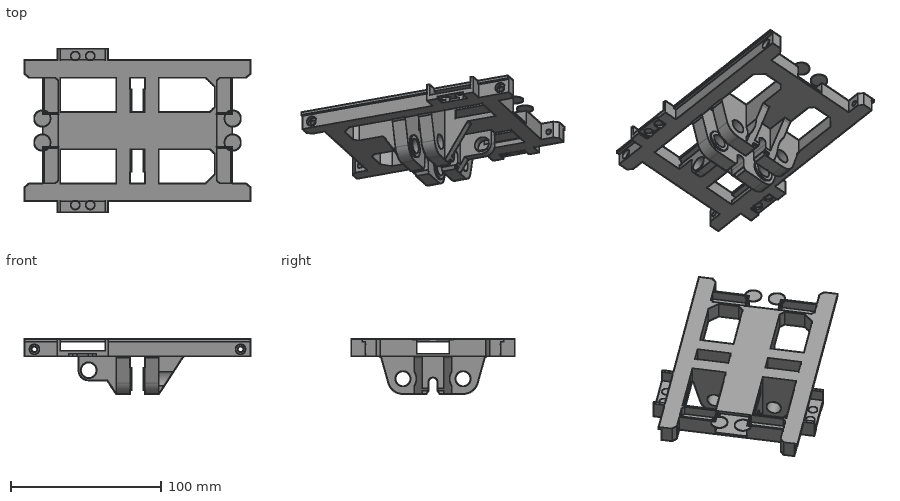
import cadquery as cq
import math

length = 150.5
width = 109.0
height = 36.7
frame_depth = 11.5
skin = 2.0

rail_inner_y = 35.1
rail_outer_y = 45.0
lip_outer_y = rail_outer_y + skin
rail_chamfer_length = 3.1
rail_chamfer_width = 2.6
screw_x = 68.65
screw_z = -6.85
screw_hole_diameter = 3.6
screw_head_diameter = 6.6
screw_head_depth = 3.0

channel_outer_x = 63.25
channel_inner_x = 52.7
channel_outer_wall = 1.0
channel_divider = 1.0
channel_corner_chamfer = 1.9
pocket_depth = 6.4
disc_x = 63.4
disc_radius = 5.5
disc_thickness = 0.4
disc_y = 8.0

spine_half_width = 12.5
tunnel_half_width = 10.7
tunnel_floor = 1.75

opening_outer_x = 51.3
bar_outer_x = 14.25
bar_inner_x = 4.85
opening_rail_chamfer = 5.9
opening_spine_chamfer = 3.0

window_x_min = -opening_outer_x
window_x_max = -21.6
window_bottom_z = -7.8
tray_outer_y = width / 2
tray_notch_x_min = -45.7
tray_notch_x_max = -27.4
tray_notch_depth = 1.6
magnet_diameter = 6.0
magnet_spacing = 10.0
magnet_y = 49.6
magnet_skin = 0.3

axle_y = 20.0
axle_z = -26.5
axle_hole_diameter = 9.9
leg_radius = height + axle_z
leg_top_y = 34.5
flare = 1.1
boss_diameter = 15.0
boss_height = 1.0
cable_slot_half_width = 2.9
cable_slot_top_z = -25.8
cable_slot_corner = 2.7
cable_slot_mouth_half_width = 4.35
cable_slot_mouth_z = -34.35

keel_inner_y = 7.0
keel_top_x = 30.0
keel_relief_radius = 8.9
web_outer_x = 16.8
arm_hole_x = -32.5
arm_hole_z = -20.8
arm_hole_diameter = 10.3
arm_radius = 6.85


def box(x0, x1, y0, y1, z0, z1):
    """Axis-aligned box between two opposite corners."""
    return cq.Workplane("XY").box(x1 - x0, y1 - y0, z1 - z0, centered=False).translate((x0, y0, z0))


def both_sides(shape, plane):
    """A shape together with its mirror image."""
    return shape.union(shape.mirror(plane))


def cylinder_along_x(radius, x0, x1, y, z):
    """Cylinder parallel to X, from x0 to x1."""
    return cq.Workplane("YZ", origin=(x0, 0, 0)).center(y, z).circle(radius).extrude(x1 - x0)


def cylinder_along_y(radius, y0, y1, x, z):
    """Cylinder parallel to Y, from y0 to y1."""
    return cq.Workplane("XZ", origin=(0, y1, 0)).center(x, z).circle(radius).extrude(y1 - y0)


def make_rail():
    """Rail on the +Y side, with an overhanging lip and a screw hole at each end."""
    half = length / 2
    rail = box(-half, half, rail_inner_y, rail_outer_y, -frame_depth, 0)
    rail = rail.union(box(-half, half, rail_outer_y, lip_outer_y, -skin, 0))
    for side in (-1, 1):
        corner = (
            cq.Workplane("XY")
            .moveTo(side * half, rail_inner_y)
            .lineTo(side * (half - rail_chamfer_length), rail_inner_y)
            .lineTo(side * half, rail_inner_y + rail_chamfer_width)
            .close()
            .extrude(-frame_depth)
        )
        rail = rail.cut(corner)
    for x in (-screw_x, screw_x):
        rail = rail.cut(cylinder_along_y(screw_hole_diameter / 2, rail_inner_y, rail_outer_y, x, screw_z))
        head_y = rail_outer_y - screw_head_depth
        rail = rail.cut(cylinder_along_y(screw_head_diameter / 2, head_y, rail_outer_y, x, screw_z))
    return rail


def make_tray():
    """Open tray outside the +Y rail, with a notch and two blind magnet pockets underneath."""
    x0 = window_x_min - skin
    x1 = window_x_max + skin
    tray = box(x0, x1, rail_outer_y, tray_outer_y, -frame_depth, 0)
    tray = tray.cut(box(window_x_min, window_x_max, lip_outer_y, tray_outer_y, window_bottom_z, 0))
    notch_top = -frame_depth + tray_notch_depth
    tray = tray.cut(box(
        tray_notch_x_min, tray_notch_x_max, lip_outer_y, tray_outer_y, -frame_depth, notch_top,
    ))
    center_x = (window_x_min + window_x_max) / 2
    magnets = (
        cq.Workplane("XY", origin=(center_x, magnet_y, -frame_depth))
        .rarray(magnet_spacing, 1, 2, 1)
        .circle(magnet_diameter / 2)
        .extrude(frame_depth + window_bottom_z - magnet_skin)
    )
    return tray.cut(magnets)


def make_channel_cuts():
    """Two walled pockets and the middle recess of the +X end channel."""
    pocket = box(
        channel_inner_x, channel_outer_x - channel_outer_wall,
        tunnel_half_width + channel_divider, rail_inner_y,
        -pocket_depth, 0,
    ).edges("|Z and <X and >Y").chamfer(channel_corner_chamfer)
    recess = box(
        channel_inner_x, channel_outer_x,
        -tunnel_half_width, tunnel_half_width,
        -frame_depth + tunnel_floor, 0,
    )
    return both_sides(pocket, "XZ").union(recess)


def make_openings():
    """Through openings on the +Y side of the spine."""
    y0 = spine_half_width
    left = box(-opening_outer_x, -bar_outer_x, y0, rail_inner_y, -frame_depth, 0)
    middle = box(-bar_inner_x, bar_inner_x, y0, rail_inner_y, -frame_depth, 0)
    right = box(bar_outer_x, opening_outer_x, y0, rail_inner_y, -frame_depth, 0)
    right = right.edges("|Z and >X and >Y").chamfer(opening_rail_chamfer)
    right = right.edges("|Z and >X and <Y").chamfer(opening_spine_chamfer)
    return left.union(middle).union(right)


def make_frame():
    """Spine, bars, end channels, rails and trays, pierced by the tunnel and the cross window."""
    frame = box(-channel_outer_x, channel_outer_x, -rail_inner_y, rail_inner_y, -frame_depth, 0)
    frame = frame.cut(both_sides(make_openings(), "XZ"))
    frame = frame.cut(both_sides(make_channel_cuts(), "YZ"))
    frame = frame.union(both_sides(make_rail(), "XZ")).union(both_sides(make_tray(), "XZ"))
    frame = frame.cut(box(
        -channel_outer_x, channel_outer_x, -tunnel_half_width, tunnel_half_width,
        -frame_depth + tunnel_floor, -skin,
    ))
    return frame.cut(box(window_x_min, window_x_max, -tray_outer_y, tray_outer_y, window_bottom_z, -skin))


def make_discs():
    """Thin round pads at the top of the two ends."""
    points = [(sx * disc_x, sy * disc_y) for sx in (-1, 1) for sy in (-1, 1)]
    return (
        cq.Workplane("XY", origin=(0, 0, -disc_thickness))
        .pushPoints(points).circle(disc_radius).extrude(disc_thickness)
    )


def make_leg():
    """Leg plate on the +X side, its lower corners rounded about the axle holes."""
    flare_z = -frame_depth - flare
    dy = leg_top_y - axle_y
    dz = flare_z - axle_z
    angle = math.atan2(dz, dy) - math.acos(leg_radius / math.hypot(dy, dz))
    tangent = (axle_y + leg_radius * math.cos(angle), axle_z + leg_radius * math.sin(angle))
    mid_angle = (angle - math.pi / 2) / 2
    middle = (axle_y + leg_radius * math.cos(mid_angle), axle_z + leg_radius * math.sin(mid_angle))
    half = (
        cq.Workplane("YZ", origin=(bar_inner_x, 0, 0))
        .moveTo(0, -frame_depth)
        .lineTo(leg_top_y + flare, -frame_depth)
        .lineTo(leg_top_y, flare_z)
        .lineTo(*tangent)
        .threePointArc(middle, (axle_y, -height))
        .lineTo(0, -height)
        .close()
        .extrude(bar_outer_x - bar_inner_x)
    )
    half = half.union(cylinder_along_x(
        boss_diameter / 2, bar_inner_x - boss_height, bar_inner_x, axle_y, axle_z,
    ))
    half = half.cut(cylinder_along_x(
        axle_hole_diameter / 2, bar_inner_x - boss_height, bar_outer_x, axle_y, axle_z,
    ))
    return both_sides(half, "XZ")


def make_keel():
    """Keel wall under the +Y edge of the spine, one tapered fin outside each leg,
    with a bolt clearance on the +X fin.
    """
    fin = (
        cq.Workplane("XZ", origin=(0, spine_half_width, 0))
        .moveTo(bar_outer_x, -frame_depth)
        .lineTo(keel_top_x + flare, -frame_depth)
        .lineTo(keel_top_x, -frame_depth - flare)
        .lineTo(bar_outer_x, -height)
        .close()
        .extrude(spine_half_width - keel_inner_y)
    )
    relief = cylinder_along_x(keel_relief_radius, bar_outer_x, keel_top_x, axle_y, axle_z)
    return fin.cut(relief).union(fin.mirror("YZ"))


def make_arm():
    """Arm with a rounded end and a cross hole on the -Y keel wall."""
    left_x = arm_hole_x - arm_radius
    bottom_z = arm_hole_z - arm_radius
    reach = arm_radius * math.sqrt(0.5)
    arm = (
        cq.Workplane("XZ", origin=(0, -keel_inner_y, 0))
        .moveTo(left_x, -frame_depth)
        .lineTo(left_x, arm_hole_z)
        .threePointArc((arm_hole_x - reach, arm_hole_z - reach), (arm_hole_x, bottom_z))
        .lineTo(-bar_outer_x, bottom_z)
        .lineTo(-bar_outer_x, -frame_depth)
        .close()
        .extrude(spine_half_width - keel_inner_y)
    )
    return arm.cut(cylinder_along_y(
        arm_hole_diameter / 2, -spine_half_width, -keel_inner_y, arm_hole_x, arm_hole_z,
    ))


def make_web():
    """Thickening of the +X leg between the keel walls, bevelled like the keel ends."""
    slope = (keel_top_x - bar_outer_x) / (height - frame_depth - flare)
    bottom_x = bar_outer_x + slope * (height + cable_slot_mouth_z)
    bevel_z = -height + (web_outer_x - bar_outer_x) / slope
    return (
        cq.Workplane("XZ", origin=(0, keel_inner_y, 0))
        .moveTo(bar_outer_x, -frame_depth)
        .lineTo(web_outer_x, -frame_depth)
        .lineTo(web_outer_x, bevel_z)
        .lineTo(bottom_x, cable_slot_mouth_z)
        .lineTo(bar_outer_x, cable_slot_mouth_z)
        .close()
        .extrude(2 * keel_inner_y)
    )


def make_cable_slot():
    """Slot along X, open at the bottom of the legs and flared at its mouth."""
    slot = box(
        -web_outer_x, web_outer_x, -cable_slot_half_width, cable_slot_half_width,
        -height, cable_slot_top_z,
    ).edges("|X and >Z").fillet(cable_slot_corner)
    mouth = (
        cq.Workplane("YZ", origin=(-web_outer_x, 0, 0))
        .moveTo(-cable_slot_half_width, cable_slot_mouth_z)
        .lineTo(cable_slot_half_width, cable_slot_mouth_z)
        .lineTo(cable_slot_mouth_half_width, -height)
        .lineTo(-cable_slot_mouth_half_width, -height)
        .close()
        .extrude(2 * web_outer_x)
    )
    return slot.union(mouth)


legs = both_sides(make_leg().union(make_web()), "YZ").cut(make_cable_slot())
keels = both_sides(make_keel(), "XZ").union(make_arm())
result = make_frame().union(legs).union(keels).union(make_discs())